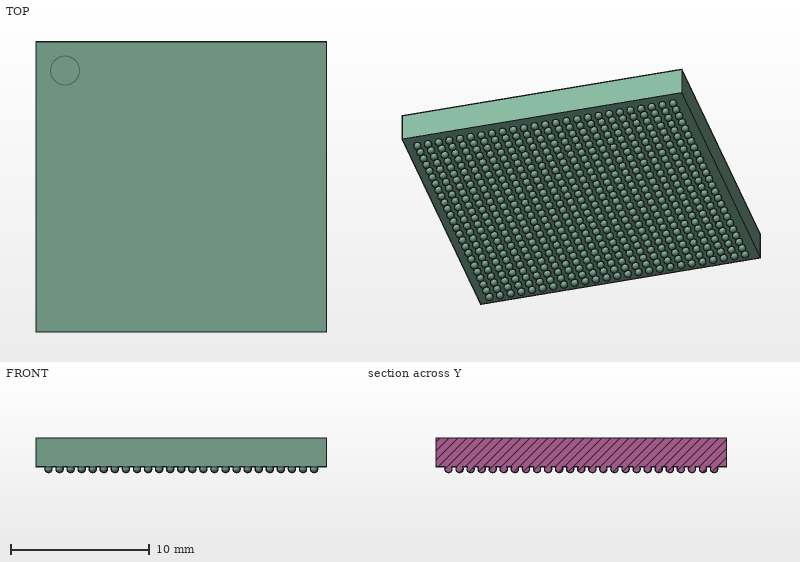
import cadquery as cq

body_side = 21.0
total_height = 2.52
ball_height = 0.42
body_height = total_height - ball_height

marker_diameter = 2.1
marker_inset = 2.1
marker_depth = 0.2

balls_per_side = 25
grid_span = 19.2
ball_pitch = grid_span / (balls_per_side - 1)
ball_radius = 0.27


def make_body():
    """Square plate standing on the Z = 0 plane."""
    return cq.Workplane("XY").box(body_side, body_side, body_height, centered=(True, True, False))


def make_marker():
    """Marker disc inlaid in the body, its top flush with the top face."""
    marker_offset = body_side / 2 - marker_inset
    return (
        cq.Workplane("XY", origin=(-marker_offset, marker_offset, body_height))
        .circle(marker_diameter / 2)
        .extrude(-marker_depth)
    )


def make_ball():
    """Spherical cap hanging below the Z = 0 plane, centred on the Z axis."""
    sphere = cq.Workplane("XY").sphere(ball_radius).translate((0, 0, ball_radius - ball_height))
    below_body = cq.Workplane("XY").rect(2 * ball_radius, 2 * ball_radius).extrude(-ball_height)
    return sphere.intersect(below_body)


def make_balls():
    """All solder balls, centred under the body."""
    ball = make_ball().val()
    return (
        cq.Workplane("XY")
        .rarray(ball_pitch, ball_pitch, balls_per_side, balls_per_side)
        .eachpoint(lambda place: ball.moved(place))
    )


additions = [make_marker().val()] + make_balls().vals()
package = make_body().val().fuse(*additions)
result = cq.Workplane("XY").add(package.Solids())